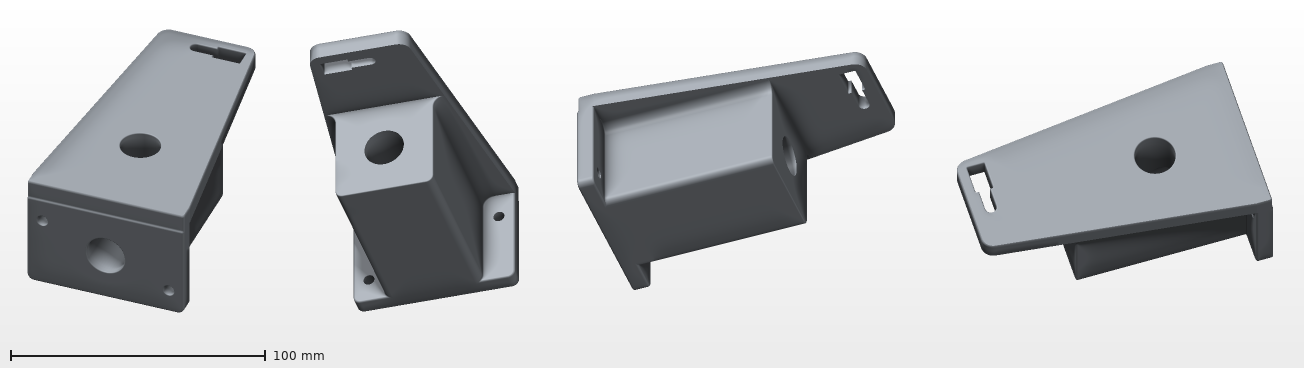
import cadquery as cq
import math

length = 115.0
width = 66.0
height = 47.5

plate_thickness = 7.0
front_wall = 7.0
tip_width = 40.0
tip_radius = 5.0
bottom_radius = 3.0
wall_edge_radius = 0.9
wall_back_radius = 0.8

top_edge_radius = 1.2
top_edge_overrun = 0.21

step_depth = 0.5
step_radius = 1.0

block_length = 77.0
block_width = 40.0
block_flare = 4.5
block_edge_radius = 0.5

bore_diameter = 16.1
bore_height = 20.1
bore_rim_radius = 0.5
screw_diameter = 4.5
screw_rim_radius = 0.3
screw_offset_x = 26.6
screw_offset_z = 10.0

slot_end_distance = 7.9
slot_y = length - slot_end_distance
slot_width = 4.5
slot_round_x = -2.9
wide_slot_start = 5.3
wide_slot_end = 16.8
wide_slot_width = 7.1
slot_corner_radius = 0.3
slot_rim_radius = 0.6

plate_bottom = height - plate_thickness
block_top = height - plate_thickness / 2


def make_top_plate():
    """Tapered plate with two rounded corners at the narrow end, left too tall by the overrun."""
    return (
        cq.Workplane("XY", origin=(0, 0, plate_bottom))
        .moveTo(-width / 2, 0)
        .lineTo(width / 2, 0)
        .lineTo(width / 2, front_wall)
        .lineTo(tip_width / 2, length)
        .lineTo(-tip_width / 2, length)
        .lineTo(-width / 2, front_wall)
        .close()
        .extrude(plate_thickness + top_edge_overrun)
        .edges("|Z and >Y")
        .fillet(tip_radius)
    )


def make_front_wall():
    """Full-width wall hanging from the wide end of the plate."""
    return (
        cq.Workplane("XY")
        .box(width, front_wall, height, centered=(True, False, False))
        .edges("|Y and <Z")
        .fillet(bottom_radius)
        .edges(">Y and (not >Z)")
        .fillet(wall_back_radius)
    )


def make_block():
    """Block with rounded lower edges, flared out to the top plate and running up into it."""
    half = block_width / 2

    arc_share = 1 - math.sqrt(0.5)
    round_mid = (half - bottom_radius * arc_share, bottom_radius * arc_share)
    flare_mid = (half + block_flare * arc_share, plate_bottom - block_flare * arc_share)

    return (
        cq.Workplane("XZ", origin=(0, block_length, 0))
        .moveTo(0, 0)
        .lineTo(half - bottom_radius, 0)
        .threePointArc(round_mid, (half, bottom_radius))
        .lineTo(half, plate_bottom - block_flare)
        .threePointArc(flare_mid, (half + block_flare, plate_bottom))
        .lineTo(half + block_flare, block_top)
        .lineTo(0, block_top)
        .mirrorY()
        .extrude(block_length - front_wall / 2)
        .faces(">Y")
        .edges()
        .fillet(block_edge_radius)
    )


def join_wall_and_block():
    """Front wall and block in one piece, with a small fillet in the corner between them."""
    reach = block_width / 2 + 2 * block_flare
    corner = cq.selectors.BoxSelector(
        (-reach, front_wall - block_edge_radius, bottom_radius),
        (reach, front_wall + block_edge_radius, block_top - block_edge_radius),
    )
    return make_front_wall().union(make_block()).edges(corner).fillet(block_edge_radius)


def make_step_cutter():
    """Strip cut from the front face, ending in an S-shaped run-out."""
    half_depth = step_depth / 2
    half_rise = math.sqrt(step_radius**2 - (step_radius - half_depth) ** 2)
    middle_z = plate_bottom - half_rise
    lower_z = plate_bottom - 2 * half_rise

    half_angle = math.asin(half_rise / step_radius) / 2
    mid_y = step_radius * (1 - math.cos(half_angle))
    mid_z = step_radius * math.sin(half_angle)

    return (
        cq.Workplane("YZ", origin=(-width, 0, 0))
        .moveTo(0, lower_z)
        .threePointArc((mid_y, lower_z + mid_z), (half_depth, middle_z))
        .threePointArc((step_depth - mid_y, plate_bottom - mid_z), (step_depth, plate_bottom))
        .lineTo(step_depth, 2 * height)
        .lineTo(0, 2 * height)
        .close()
        .extrude(2 * width)
    )


def round_outer_edges(body):
    """Round the front face outline and the rim of the top plate."""
    body = body.edges("<Y and <Z").fillet(wall_edge_radius)
    body = body.faces(">Z").edges().fillet(top_edge_radius)
    overrun = cq.Workplane("XY", origin=(0, 0, height)).rect(2 * width, 3 * length).extrude(height)
    return body.cut(overrun)


def cut_front_holes(body):
    """Central bore through wall and block, with two screw holes through the wall."""
    front = cq.Workplane("XZ", origin=(0, 0, bore_height))
    screw_places = [(-screw_offset_x, screw_offset_z), (screw_offset_x, -screw_offset_z)]
    bore = front.circle(bore_diameter / 2).extrude(-block_length)
    screws = front.pushPoints(screw_places).circle(screw_diameter / 2).extrude(-front_wall)
    largest_circle = cq.selectors.RadiusNthSelector(-1)
    body = body.cut(screws).faces("<Y").edges(largest_circle).fillet(screw_rim_radius)
    return body.cut(bore).faces("<Y").edges(largest_circle).fillet(bore_rim_radius)


def cut_bore_from_top(body):
    """Vertical bore that ends in the central bore."""
    bore = (
        cq.Workplane("XY", origin=(0, block_length / 2, bore_height))
        .circle(bore_diameter / 2)
        .extrude(height)
    )
    return body.cut(bore).faces(">Z").edges(cq.selectors.RadiusNthSelector(-1)).fillet(bore_rim_radius)


def cut_keyhole_slot(body):
    """Narrow slot with one round end, opening into a wider rectangle."""
    slot = cq.Workplane("XY", origin=(0, slot_y, plate_bottom))
    wide_slot_length = wide_slot_end - wide_slot_start
    wide = (
        slot.center(wide_slot_start + wide_slot_length / 2, 0)
        .rect(wide_slot_length, wide_slot_width)
        .extrude(plate_thickness)
        .edges("|Z")
        .fillet(slot_corner_radius)
    )
    half = slot_width / 2
    narrow = (
        slot.moveTo(slot_round_x, half)
        .lineTo(wide_slot_end - half, half)
        .lineTo(wide_slot_end - half, -half)
        .lineTo(slot_round_x, -half)
        .threePointArc((slot_round_x - half, 0), (slot_round_x, half))
        .close()
        .extrude(plate_thickness)
    )
    rim = cq.selectors.BoxSelector(
        (slot_round_x - slot_width, slot_y - wide_slot_width, height - slot_rim_radius),
        (wide_slot_end + slot_rim_radius, slot_y + wide_slot_width, height + slot_rim_radius),
        boundingbox=True,
    )
    return body.cut(wide.union(narrow)).faces(">Z").edges(rim).fillet(slot_rim_radius)


body = make_top_plate().union(join_wall_and_block())
body = round_outer_edges(body.cut(make_step_cutter()))
body = cut_front_holes(body)
body = cut_bore_from_top(body)
result = cut_keyhole_slot(body)